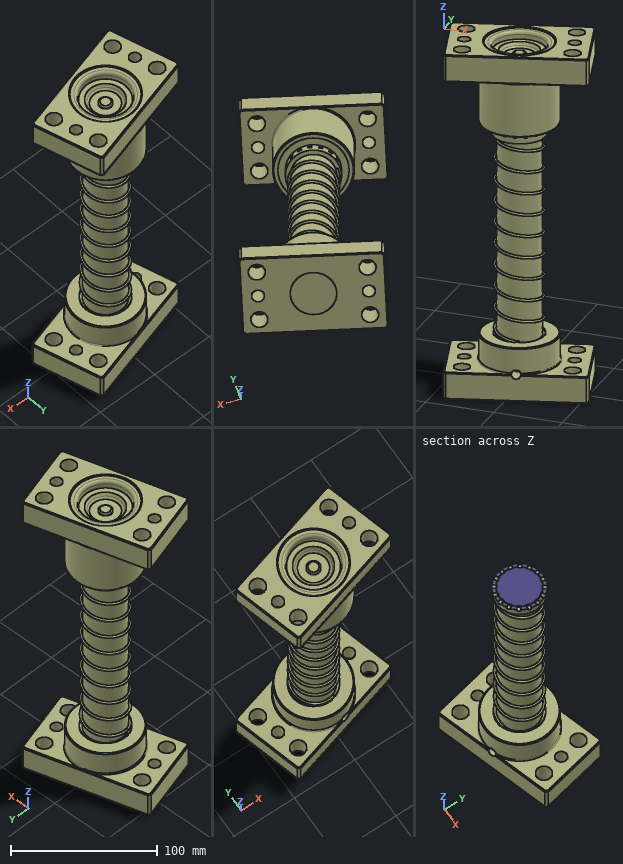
import cadquery as cq
import math

TOTAL_HEIGHT = 256.5
TILT = 16.0

PLATE_LENGTH = 100.0
PLATE_WIDTH = 57.7
PLATE_THICKNESS = 20.0
CORNER_CHAMFER = 1.8
EDGE_CHAMFER = 0.8

HOLE_SPACING_X = 76.0
HOLE_SPACING_Y = 36.0
SCREW_HOLE_DIAMETER = 11.5
DOWEL_HOLE_DIAMETER = 8.7

HUB_RADIUS = 28.0
HUB_FILLET = 0.8
HUB_CHAMFER = 0.8
LOWER_HUB_TOP = 39.5
UPPER_HUB_BOTTOM = 196.5
LOCK_HOLE_DIAMETER = 6.5

PILLAR_RADIUS = 16.0
RETAINER_TOP = TOTAL_HEIGHT - 6.7
RETAINER_RADIUS = 18.5
RETAINER_THICKNESS = 7.7
RETAINER_BOTTOM = RETAINER_TOP - RETAINER_THICKNESS
BOWL_RIM_RADIUS = 14.4
BOWL_MIDDLE_RADIUS = 12.8
BOWL_MIDDLE_DEPTH = 2.0
BOWL_FLOOR_RADIUS = 11.0
BOWL_DEPTH = 3.5
BOWL_FLOOR = RETAINER_TOP - BOWL_DEPTH

STUD_RADIUS = 5.1
STUD_HEIGHT = 1.8
STUD_CHAMFER = 1.3
STUD_DEPTH_IN_PILLAR = 12.8

BUSH_RADIUS = 24.4
BUSH_SETBACK = 0.8
BUSH_TOP = TOTAL_HEIGHT - BUSH_SETBACK
BUSH_LEAD_IN = 2.5

CAGE_RADIUS = 19.2
CAGE_BOTTOM = 188.0
CAGE_HOLE_COUNT = 16
CAGE_HOLE_DIAMETER = 2.5
CAGE_HOLE_HEIGHT = 193.5

WIRE_RADIUS = 0.9
SPRING_CLEARANCE = 0.13
COIL_RADIUS = PILLAR_RADIUS + SPRING_CLEARANCE + WIRE_RADIUS
SPRING_PITCH = 16.0
SPRING_START_ANGLE = 180.0
SEAT_RADIUS = COIL_RADIUS + WIRE_RADIUS + SPRING_CLEARANCE
SEAT_DEPTH = 1.3
SEAT_FLOOR = LOWER_HUB_TOP - SEAT_DEPTH


def cylinder(radius, bottom, top):
    return cq.Workplane("XY").workplane(offset=bottom).circle(radius).extrude(top - bottom)


def flange_plate(bottom):
    return (
        cq.Workplane("XY")
        .workplane(offset=bottom)
        .rect(PLATE_LENGTH, PLATE_WIDTH)
        .extrude(PLATE_THICKNESS)
        .edges("|Z")
        .chamfer(CORNER_CHAMFER)
        .faces("<Z or >Z")
        .edges()
        .chamfer(EDGE_CHAMFER)
    )


def drill_flange_holes(flange):
    screw_holes = (
        cq.Workplane("XY")
        .rarray(HOLE_SPACING_X, HOLE_SPACING_Y, 2, 2)
        .circle(SCREW_HOLE_DIAMETER / 2)
        .extrude(TOTAL_HEIGHT)
    )
    dowel_holes = (
        cq.Workplane("XY")
        .rarray(HOLE_SPACING_X, 2.5, 2, 1)
        .circle(DOWEL_HOLE_DIAMETER / 2)
        .extrude(TOTAL_HEIGHT)
    )
    return flange.cut(screw_holes).cut(dowel_holes)


def tilt(flange):
    return flange.rotate((0, 0, 0), (0, 0, 1), TILT)


def revolved_hub(plate_face, end, direction):
    """Hub revolved about the pillar axis, with a fillet at the plate and a chamfer at its end."""
    foot = plate_face + direction * HUB_FILLET
    diagonal = HUB_FILLET * (1 - math.sqrt(0.5))
    return (
        cq.Workplane("XZ")
        .moveTo(0, plate_face)
        .lineTo(HUB_RADIUS + HUB_FILLET, plate_face)
        .threePointArc((HUB_RADIUS + diagonal, plate_face + direction * diagonal), (HUB_RADIUS, foot))
        .lineTo(HUB_RADIUS, end - direction * HUB_CHAMFER)
        .lineTo(HUB_RADIUS - HUB_CHAMFER, end)
        .lineTo(0, end)
        .close()
        .revolve(360, (0, 0, 0), (0, 1, 0))
    )


def build_lower_flange():
    flange = flange_plate(0).union(revolved_hub(PLATE_THICKNESS, LOWER_HUB_TOP, 1))
    lock_hole = (
        cq.Workplane("XZ")
        .center(0, PLATE_THICKNESS)
        .circle(LOCK_HOLE_DIAMETER / 2)
        .extrude(PLATE_WIDTH)
    )
    pillar_bore = cylinder(PILLAR_RADIUS, 0, LOWER_HUB_TOP)
    spring_seat = cylinder(SEAT_RADIUS, SEAT_FLOOR, LOWER_HUB_TOP)
    flange = flange.cut(pillar_bore).cut(spring_seat).cut(lock_hole)
    return tilt(drill_flange_holes(flange))


def build_upper_flange():
    plate_bottom = TOTAL_HEIGHT - PLATE_THICKNESS
    flange = flange_plate(plate_bottom).union(revolved_hub(plate_bottom, UPPER_HUB_BOTTOM, -1))
    flange = flange.cut(cylinder(BUSH_RADIUS, 0, TOTAL_HEIGHT))
    bore_mouth = flange.faces(">Z").edges(cq.selectors.RadiusNthSelector(0))
    return tilt(drill_flange_holes(bore_mouth.chamfer(BUSH_SETBACK)))


def build_bush():
    bush = cylinder(BUSH_RADIUS, UPPER_HUB_BOTTOM, BUSH_TOP).cut(cylinder(CAGE_RADIUS, 0, TOTAL_HEIGHT))
    return bush.faces(">Z").edges(cq.selectors.RadiusNthSelector(0)).fillet(BUSH_LEAD_IN)


def build_cage():
    cage = cylinder(CAGE_RADIUS, CAGE_BOTTOM, RETAINER_BOTTOM).cut(cylinder(PILLAR_RADIUS, 0, TOTAL_HEIGHT))
    step = 360 / CAGE_HOLE_COUNT
    hole = (
        cq.Workplane("XZ")
        .center(0, CAGE_HOLE_HEIGHT)
        .circle(CAGE_HOLE_DIAMETER / 2)
        .extrude(2 * CAGE_RADIUS)
    )
    for index in range(CAGE_HOLE_COUNT):
        cage = cage.cut(hole.rotate((0, 0, 0), (0, 0, 1), (index + 0.5) * step))
    return cage


def build_stud():
    top = BOWL_FLOOR + STUD_HEIGHT
    return cylinder(STUD_RADIUS, RETAINER_BOTTOM - STUD_DEPTH_IN_PILLAR, top).faces(">Z").chamfer(STUD_CHAMFER)


def build_pillar():
    return cylinder(PILLAR_RADIUS, 0, RETAINER_BOTTOM).cut(build_stud())


def build_retainer():
    retainer = (
        cq.Workplane("XZ")
        .moveTo(0, RETAINER_BOTTOM)
        .lineTo(RETAINER_RADIUS, RETAINER_BOTTOM)
        .lineTo(RETAINER_RADIUS, RETAINER_TOP)
        .lineTo(BOWL_RIM_RADIUS, RETAINER_TOP)
        .lineTo(BOWL_MIDDLE_RADIUS, RETAINER_TOP - BOWL_MIDDLE_DEPTH)
        .lineTo(BOWL_FLOOR_RADIUS, BOWL_FLOOR)
        .lineTo(0, BOWL_FLOOR)
        .close()
        .revolve(360, (0, 0, 0), (0, 1, 0))
    )
    return retainer.cut(build_stud())


def build_spring():
    """Left-hand helix: the wire touches the cage at its upper end and its seat at its lower end."""
    bottom = SEAT_FLOOR + WIRE_RADIUS
    height = CAGE_BOTTOM - WIRE_RADIUS - bottom
    path = cq.Wire.makeHelix(SPRING_PITCH, height, COIL_RADIUS, lefthand=True)
    section = cq.Workplane("XZ").center(COIL_RADIUS, 0).circle(WIRE_RADIUS)
    spring = section.sweep(cq.Workplane(path), isFrenet=True)
    turned = 360 * height / SPRING_PITCH
    return spring.rotate((0, 0, 0), (0, 0, 1), SPRING_START_ANGLE + turned).translate((0, 0, bottom))


lower_flange = build_lower_flange()
upper_flange = build_upper_flange()
bush = build_bush()
cage = build_cage()
pillar = build_pillar()
retainer = build_retainer()
stud = build_stud()
spring = build_spring()

result = cq.Compound.makeCompound(
    [
        lower_flange.val(),
        upper_flange.val(),
        bush.val(),
        cage.val(),
        pillar.val(),
        retainer.val(),
        stud.val(),
        spring.val(),
    ]
)